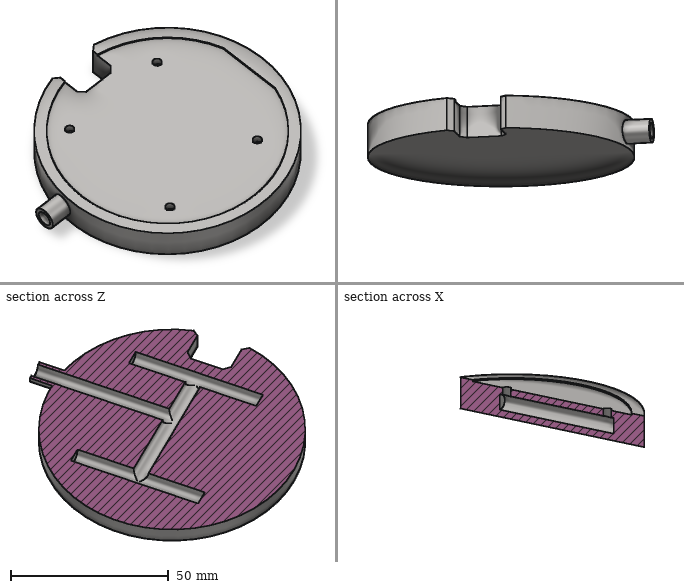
import cadquery as cq
import math

seat_diameter = 76.5
seat_radius = seat_diameter / 2
seat_flat_y = 36.45
seat_depth = 0.5

rim_width = 4.0
body_radius = seat_radius + rim_width
body_height = 10.5
seat_floor_z = body_height - seat_depth

overall_length_y = 92.2

notch_width = 15.0
notch_center_y = -1.25
notch_floor_x = -29.75
notch_chamfer = 2.0
notch_top_y = notch_center_y + notch_width / 2
notch_bottom_y = notch_center_y - notch_width / 2

hole_diameter = 3.0
hole_spacing_x = 45.0
hole_spacing_y = 39.0
hole_center_y = -1.8

tube_x = -5.0
tube_diameter = 7.62
tube_end_y = body_radius - overall_length_y
channel_diameter = 5.0
channel_z = 5.0


def rod_along_y(diameter, x, start_y, end_y):
    """Cylinder parallel to Y at the channel height."""
    plane = cq.Workplane("XZ", origin=(x, start_y, channel_z))
    return plane.circle(diameter / 2).extrude(start_y - end_y)


def make_body():
    """Plain disc."""
    return cq.Workplane("XY").circle(body_radius).extrude(body_height)


def make_seat():
    """Thin disc with its +Y side trimmed to a straight flat."""
    disc = cq.Workplane("XY", origin=(0, 0, seat_floor_z)).circle(seat_radius).extrude(seat_depth)
    kept_length_y = seat_flat_y + seat_radius
    kept = (
        cq.Workplane("XY", origin=(0, seat_flat_y - kept_length_y / 2, seat_floor_z))
        .rect(seat_diameter, kept_length_y)
        .extrude(seat_depth)
    )
    return disc.intersect(kept)


def rim_x(y):
    """X of the -X side of the rim at the given Y."""
    return -math.sqrt(body_radius**2 - y**2)


def make_notch():
    """Notch that widens at its mouth and narrows at its floor by the corner chamfers."""
    top_tip_y = notch_top_y + notch_chamfer
    bottom_tip_y = notch_bottom_y - notch_chamfer
    outside_x = -body_radius - notch_chamfer
    outline = [
        (outside_x, bottom_tip_y),
        (rim_x(bottom_tip_y), bottom_tip_y),
        (rim_x(notch_bottom_y) + notch_chamfer, notch_bottom_y),
        (notch_floor_x - notch_chamfer, notch_bottom_y),
        (notch_floor_x, notch_bottom_y + notch_chamfer),
        (notch_floor_x, notch_top_y - notch_chamfer),
        (notch_floor_x - notch_chamfer, notch_top_y),
        (rim_x(notch_top_y) + notch_chamfer, notch_top_y),
        (rim_x(top_tip_y), top_tip_y),
        (outside_x, top_tip_y),
    ]
    return cq.Workplane("XY").polyline(outline).close().extrude(body_height)


def make_tube():
    """Solid tube reaching well into the body; the air bore is cut later."""
    return rod_along_y(tube_diameter, tube_x, 0, tube_end_y)


def make_holes():
    """Suction holes from the seat floor down to the air channels."""
    return (
        cq.Workplane("XY", origin=(0, hole_center_y, channel_z))
        .rect(hole_spacing_x, hole_spacing_y, forConstruction=True)
        .vertices()
        .circle(hole_diameter / 2)
        .extrude(body_height - channel_z)
    )


def make_channels():
    """Tube bore, a cross channel along X and a side channel along Y under each pair of holes."""
    channel_radius = channel_diameter / 2
    channels = rod_along_y(channel_diameter, tube_x, hole_center_y, tube_end_y)
    cross_channel = (
        cq.Workplane("YZ", origin=(-hole_spacing_x / 2, hole_center_y, channel_z))
        .circle(channel_radius)
        .extrude(hole_spacing_x)
    )
    channels = channels.union(cross_channel)
    side_half_length = hole_spacing_y / 2 + channel_radius
    for side in (-1, 1):
        side_channel = rod_along_y(
            channel_diameter,
            side * hole_spacing_x / 2,
            hole_center_y + side_half_length,
            hole_center_y - side_half_length,
        )
        channels = channels.union(side_channel)
    return channels


result = (
    make_body()
    .union(make_tube())
    .cut(make_seat())
    .cut(make_notch())
    .cut(make_holes())
    .cut(make_channels())
)